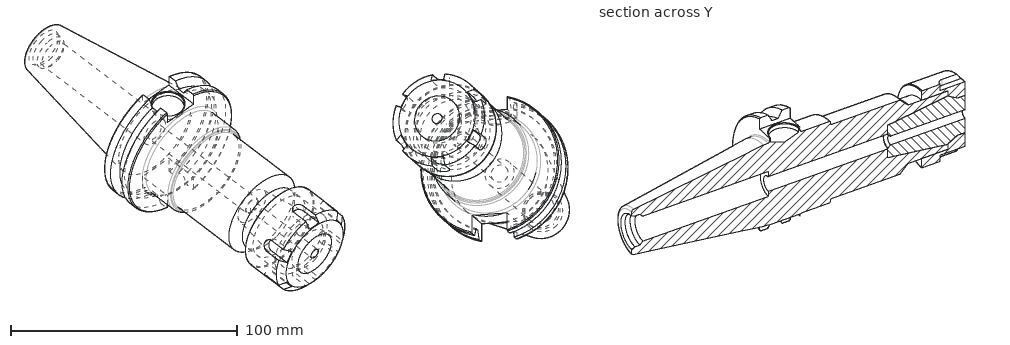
import cadquery as cq
import math


OVERALL_LENGTH = 172.9

SHANK_LARGE_DIA = 44.5
SHANK_TAPER_END_X = 68.3
SHANK_TAPER = 7 / 24
SHANK_SMALL_DIA = SHANK_LARGE_DIA - SHANK_TAPER_END_X * SHANK_TAPER
SHANK_TIP_ROUND = 1.2

FLANGE_DIA = 63.5
FLANGE_START_X = 71.4
FLANGE_WIDTH = 15.9
FLANGE_CHAMFER = 0.5
FLANGE_ROOT_ROUND = 0.5
V_GROOVE_DEPTH = 3.6
V_GROOVE_FLOOR_WIDTH = 3.1
V_GROOVE_HALF_ANGLE = 30.0
V_GROOVE_CENTER_X = FLANGE_START_X + FLANGE_WIDTH / 2

DRIVE_SLOT_WIDTH = 16.0
UPPER_SLOT_FLOOR_Z = 24.7
LOWER_SLOT_FLOOR_Z = -22.5
DIMPLE_MOUTH_DIA = 15.0
DIMPLE_DIA = 14.4
DIMPLE_DEPTH = 2.5
DIMPLE_TIP_ANGLE = 140.0

COLLAR_DIA = SHANK_LARGE_DIA
COLLAR_END_X = 103.2
COLLAR_ROOT_ROUND = 1.2
COLLAR_END_ROUND = 0.9
BODY_DIA = 40.5
BODY_ROOT_ROUND = 0.5
BODY_END_X = 139.2
NECK_DIA = 32.0
NOSE_END_X = 164.3

BORE_MOUTH_DIA = 18.0
PILOT_DIA = 16.5
PILOT_END_X = 4.3
THREAD_BORE_DIA = 13.3
THREAD_BORE_END_X = 70.9
MOUTH_CONE_LENGTH = 1.7
PILOT_CONE_LENGTH = (PILOT_DIA - THREAD_BORE_DIA) / 2
COOLANT_HOLE_DIA = 7.8

COLLET_LARGE_DIA = 26.1
COLLET_REAR_DIA = 17.3
COLLET_FRONT_DIA = 20.5
COLLET_REAR_HALF_ANGLE = 8.0
COLLET_FRONT_HALF_ANGLE = 30.0
COLLET_BORE_DIA = 4.5
COLLET_SINK_DIA = 7.1

NUT_DIA = 42.0
NUT_START_X = 150.3
NUT_REAR_CHAMFER = 0.3
NUT_BEVEL_LENGTH = 2.6
NUT_FACE_DIA = 35.0
WRENCH_SLOT_COUNT = 6
WRENCH_SLOT_WIDTH = 5.7
WRENCH_SLOT_START_X = 160.0
WRENCH_SLOT_FLOOR_RADIUS = 17.6

EDGE_CLEARANCE = 0.02


def cone_length(large_dia, small_dia, half_angle):
    """Axial length of a cone between two diameters."""
    return (large_dia - small_dia) / 2 / math.tan(math.radians(half_angle))


COLLET_REAR_X = NOSE_END_X - cone_length(COLLET_LARGE_DIA, COLLET_REAR_DIA, COLLET_REAR_HALF_ANGLE)
COLLET_CONE_END_X = NOSE_END_X + cone_length(COLLET_LARGE_DIA, COLLET_FRONT_DIA, COLLET_FRONT_HALF_ANGLE)
FLANGE_END_X = FLANGE_START_X + FLANGE_WIDTH


def turned(stations):
    """Solid of revolution about X through (x, diameter) stations, in order along X."""
    profile = [(x, dia / 2) for x, dia in stations]
    axis_start = (stations[0][0], 0)
    axis_end = (stations[-1][0], 0)
    outline = cq.Workplane("XY").polyline([axis_start, *profile, axis_end]).close()
    return outline.revolve(360, (0, 0, 0), (1, 0, 0))


def round_edge(solid, x, dia, radius):
    """Fillet the circular edge of the given diameter at station x."""
    reach = dia / 2 + EDGE_CLEARANCE
    low_corner = (x - EDGE_CLEARANCE, -reach, -reach)
    high_corner = (x + EDGE_CLEARANCE, reach, reach)
    rims = solid.edges(cq.selectors.BoxSelector(low_corner, high_corner, boundingbox=True))
    rim = rims.edges(cq.selectors.RadiusNthSelector(-1))
    return rim.fillet(radius)


def holder_blank():
    groove_dia = FLANGE_DIA - 2 * V_GROOVE_DEPTH
    floor_half = V_GROOVE_FLOOR_WIDTH / 2
    mouth_half = floor_half + V_GROOVE_DEPTH * math.tan(math.radians(V_GROOVE_HALF_ANGLE))
    bevel_dia = FLANGE_DIA - 2 * FLANGE_CHAMFER
    shoulder_length = (BODY_DIA - NECK_DIA) / 2
    blank = turned([
        (0, SHANK_SMALL_DIA),
        (SHANK_TAPER_END_X, SHANK_LARGE_DIA),
        (FLANGE_START_X, SHANK_LARGE_DIA),
        (FLANGE_START_X, bevel_dia),
        (FLANGE_START_X + FLANGE_CHAMFER, FLANGE_DIA),
        (V_GROOVE_CENTER_X - mouth_half, FLANGE_DIA),
        (V_GROOVE_CENTER_X - floor_half, groove_dia),
        (V_GROOVE_CENTER_X + floor_half, groove_dia),
        (V_GROOVE_CENTER_X + mouth_half, FLANGE_DIA),
        (FLANGE_END_X - FLANGE_CHAMFER, FLANGE_DIA),
        (FLANGE_END_X, bevel_dia),
        (FLANGE_END_X, COLLAR_DIA),
        (COLLAR_END_X, COLLAR_DIA),
        (COLLAR_END_X, BODY_DIA),
        (BODY_END_X, BODY_DIA),
        (BODY_END_X + shoulder_length, NECK_DIA),
        (NOSE_END_X, NECK_DIA),
    ])
    blank = round_edge(blank, 0, SHANK_SMALL_DIA, SHANK_TIP_ROUND)
    blank = round_edge(blank, FLANGE_START_X, SHANK_LARGE_DIA, FLANGE_ROOT_ROUND)
    blank = round_edge(blank, FLANGE_END_X, COLLAR_DIA, COLLAR_ROOT_ROUND)
    blank = round_edge(blank, COLLAR_END_X, BODY_DIA, BODY_ROOT_ROUND)
    return round_edge(blank, COLLAR_END_X, COLLAR_DIA, COLLAR_END_ROUND)


def holder_bore():
    return turned([
        (0, BORE_MOUTH_DIA),
        (MOUTH_CONE_LENGTH, PILOT_DIA),
        (PILOT_END_X, PILOT_DIA),
        (PILOT_END_X + PILOT_CONE_LENGTH, THREAD_BORE_DIA),
        (THREAD_BORE_END_X, THREAD_BORE_DIA),
        (THREAD_BORE_END_X, COOLANT_HOLE_DIA),
        (COLLET_REAR_X, COOLANT_HOLE_DIA),
        (COLLET_REAR_X, COLLET_REAR_DIA),
        (NOSE_END_X, COLLET_LARGE_DIA),
    ])


def drive_slot(floor_z):
    """Slot across the whole flange, from its floor outward beyond the rim."""
    outer_z = math.copysign(FLANGE_DIA, floor_z)
    middle = (V_GROOVE_CENTER_X, 0, (floor_z + outer_z) / 2)
    return cq.Workplane("XY").box(FLANGE_WIDTH, DRIVE_SLOT_WIDTH, abs(outer_z - floor_z)).translate(middle)


def slot_dimple():
    """Drilled dimple with a chamfered mouth and a conical bottom in the floor of the upper drive slot."""
    radius = DIMPLE_DIA / 2
    tip_depth = DIMPLE_DEPTH + radius / math.tan(math.radians(DIMPLE_TIP_ANGLE / 2))
    mouth_radius = DIMPLE_MOUTH_DIA / 2
    chamfer = mouth_radius - radius
    profile = [(0, 0), (mouth_radius, 0), (radius, -chamfer), (radius, -DIMPLE_DEPTH), (0, -tip_depth)]
    dimple = cq.Workplane("XZ").polyline(profile).close().revolve(360, (0, 0, 0), (0, 1, 0))
    return dimple.translate((V_GROOVE_CENTER_X, 0, UPPER_SLOT_FLOOR_Z))


def make_holder():
    holder = holder_blank().cut(holder_bore())
    for floor_z in (UPPER_SLOT_FLOOR_Z, LOWER_SLOT_FLOOR_Z):
        holder = holder.cut(drive_slot(floor_z))
    return holder.cut(slot_dimple())


def make_collet():
    plug = turned([
        (COLLET_REAR_X, COLLET_REAR_DIA),
        (NOSE_END_X, COLLET_LARGE_DIA),
        (COLLET_CONE_END_X, COLLET_FRONT_DIA),
        (OVERALL_LENGTH, COLLET_FRONT_DIA),
    ])
    sink_depth = (COLLET_SINK_DIA - COLLET_BORE_DIA) / 2
    bore = turned([
        (COLLET_REAR_X, COLLET_SINK_DIA),
        (COLLET_REAR_X + sink_depth, COLLET_BORE_DIA),
        (OVERALL_LENGTH, COLLET_BORE_DIA),
    ])
    return plug.cut(bore)


def wrench_slot():
    """Round-ended slot in the +Z side of the nut, open at the front face."""
    end_radius = WRENCH_SLOT_WIDTH / 2
    straight_start = WRENCH_SLOT_START_X + end_radius
    return (
        cq.Workplane("XY", origin=(0, 0, WRENCH_SLOT_FLOOR_RADIUS))
        .moveTo(OVERALL_LENGTH, -end_radius)
        .lineTo(straight_start, -end_radius)
        .threePointArc((WRENCH_SLOT_START_X, 0), (straight_start, end_radius))
        .lineTo(OVERALL_LENGTH, end_radius)
        .close()
        .extrude(NUT_DIA / 2)
    )


def make_nut():
    nut = turned([
        (NUT_START_X, NUT_DIA - 2 * NUT_REAR_CHAMFER),
        (NUT_START_X + NUT_REAR_CHAMFER, NUT_DIA),
        (OVERALL_LENGTH - NUT_BEVEL_LENGTH, NUT_DIA),
        (OVERALL_LENGTH, NUT_FACE_DIA),
    ])
    nut = nut.cut(turned([
        (NUT_START_X, NECK_DIA),
        (NOSE_END_X, NECK_DIA),
        (NOSE_END_X, COLLET_LARGE_DIA),
        (COLLET_CONE_END_X, COLLET_FRONT_DIA),
        (OVERALL_LENGTH, COLLET_FRONT_DIA),
    ]))
    slot = wrench_slot()
    for index in range(WRENCH_SLOT_COUNT):
        angle = index * 360 / WRENCH_SLOT_COUNT
        nut = nut.cut(slot.rotate((0, 0, 0), (1, 0, 0), angle))
    return nut


holder = make_holder()
collet = make_collet()
nut = make_nut()

result = cq.Compound.makeCompound([holder.val(), collet.val(), nut.val()])